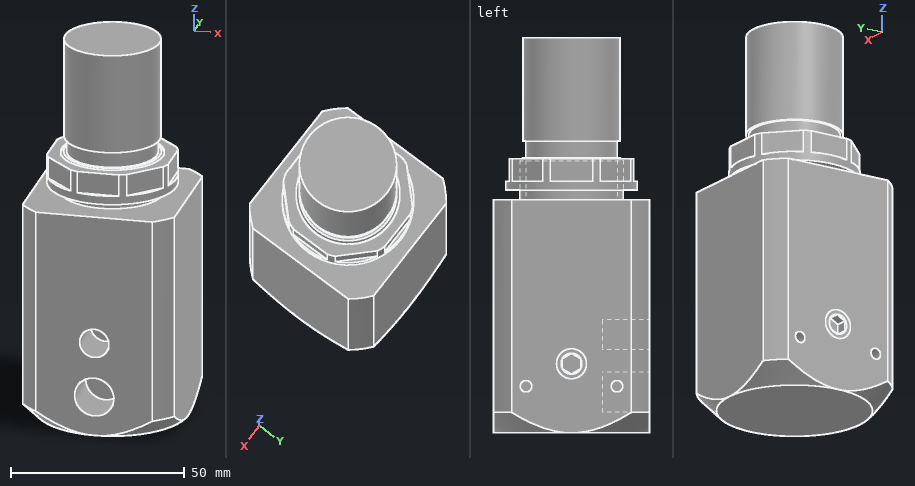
import cadquery as cq
import math

block_width = 45.0
corner_dia = 56.8
block_height = 67.3
bottom_bevel_height = 5.9
overall_height = 114.0

collar_dia = 30.0
collar_top = 79.3
collar_chamfer = 0.9

small_port_dia = 8.7
small_port_z = 28.4
large_port_dia = 11.6
large_port_z = 11.9
port_depth = 13.7

mount_hole_dia = 3.3
mount_hole_offset = 13.1
mount_hole_z = 13.5
mount_hole_depth = 6.8
plug_dia = 8.7
plug_z = 20.0
plug_length = 8.0
socket_corner_dia = 6.0
socket_depth = 4.0
socket_side_count = 6

nut_flats = 35.9
nut_flange_dia = 38.0
nut_bottom = 70.0
nut_flange_top = 72.6
nut_top = 79.1
nut_side_count = 8

knob_dia = 28.0
knob_bottom = 84.1
stem_dia = 26.5
stem_bottom = block_height


def cylinder(diameter, bottom, top):
    """Upright cylinder on the main axis between two heights."""
    return cq.Workplane("XY").workplane(offset=bottom).circle(diameter / 2).extrude(top - bottom)


def front_hole(diameter, z, depth):
    """Cylinder running inward from the -Y face."""
    face = cq.Workplane("XZ", origin=(0, -block_width / 2, z))
    return face.circle(diameter / 2).extrude(-depth)


def side_hole(diameter, y, z, depth):
    """Cylinder running inward from the -X face."""
    face = cq.Workplane("YZ", origin=(-block_width / 2, y, z))
    return face.circle(diameter / 2).extrude(depth)


def make_housing():
    envelope = (
        cq.Workplane("XZ")
        .moveTo(0, 0)
        .lineTo(block_width / 2, 0)
        .lineTo(corner_dia / 2, bottom_bevel_height)
        .lineTo(corner_dia / 2, block_height)
        .lineTo(0, block_height)
        .close()
        .revolve(360, (0, 0, 0), (0, 1, 0))
    )
    block = cq.Workplane("XY").rect(block_width, block_width).extrude(block_height)
    housing = block.intersect(envelope)

    collar = cylinder(collar_dia, block_height, collar_top).faces(">Z").chamfer(collar_chamfer)
    housing = housing.union(collar)

    housing = housing.cut(cylinder(stem_dia, stem_bottom, collar_top))

    housing = housing.cut(front_hole(small_port_dia, small_port_z, port_depth))
    housing = housing.cut(front_hole(large_port_dia, large_port_z, port_depth))
    for y in (-mount_hole_offset, mount_hole_offset):
        housing = housing.cut(side_hole(mount_hole_dia, y, mount_hole_z, mount_hole_depth))
    return housing.cut(side_hole(plug_dia, 0, plug_z, plug_length))


def make_nut():
    flange = cylinder(nut_flange_dia, nut_bottom, nut_flange_top)
    corner_to_corner = nut_flats / math.cos(math.pi / nut_side_count)
    head = (
        cq.Workplane("XY")
        .workplane(offset=nut_flange_top)
        .polygon(nut_side_count, corner_to_corner)
        .extrude(nut_top - nut_flange_top)
        .rotate((0, 0, 0), (0, 0, 1), 180 / nut_side_count)
        .intersect(cylinder(nut_flange_dia, nut_flange_top, nut_top))
    )
    return flange.union(head).cut(cylinder(collar_dia, nut_bottom, nut_top))


def make_knob():
    stem = cylinder(stem_dia, stem_bottom, knob_bottom)
    return stem.union(cylinder(knob_dia, knob_bottom, overall_height))


def make_plug():
    plug = side_hole(plug_dia, 0, plug_z, plug_length)
    socket = (
        cq.Workplane("YZ", origin=(-block_width / 2, 0, plug_z))
        .transformed(rotate=(0, 0, 90))
        .polygon(socket_side_count, socket_corner_dia)
        .extrude(socket_depth)
    )
    socket_flats = socket_corner_dia * math.cos(math.pi / socket_side_count)
    lead_in = cq.Solid.makeCone(
        socket_corner_dia / 2,
        socket_flats / 2,
        (socket_corner_dia - socket_flats) / 2,
        pnt=cq.Vector(-block_width / 2, 0, plug_z),
        dir=cq.Vector(1, 0, 0),
    )
    return plug.cut(socket).cut(cq.Workplane(lead_in))


housing = make_housing()
nut = make_nut()
knob = make_knob()
plug = make_plug()

result = cq.Compound.makeCompound([housing.val(), nut.val(), knob.val(), plug.val()])